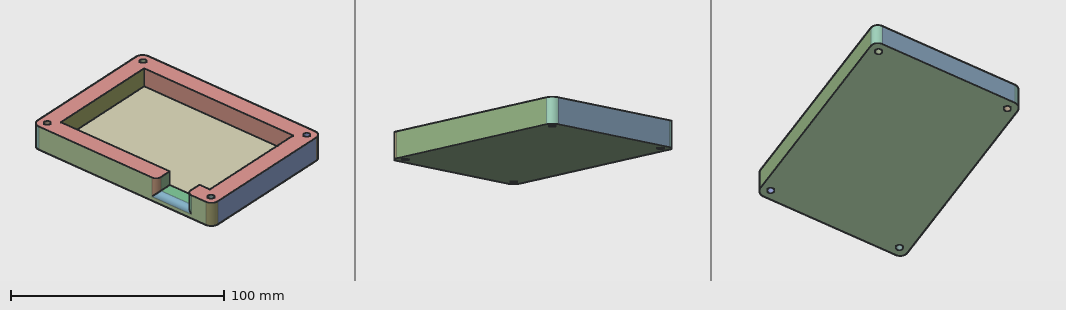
import cadquery as cq

length = 110.0
width = 80.0
height = 13.0
corner_radius = 4.0

rim_width = 9.5
floor_thickness = 3.0

hole_diameter = 3.4
hole_inset = 5.0

notch_width = 18.2
notch_center_x = 30.1
notch_floor = 5.4
mouth_diameter = 6.0
mouth_radius = mouth_diameter / 2

pocket_length = length - 2 * rim_width
pocket_width = width - 2 * rim_width
front_y = -width / 2


def tray_body():
    """Rectangular block with rounded vertical corners and a rectangular pocket."""
    body = cq.Workplane("XY").rect(length, width).extrude(height).edges("|Z").fillet(corner_radius)
    pocket = cq.Workplane("XY").workplane(offset=floor_thickness).rect(pocket_length, pocket_width)
    return body.cut(pocket.extrude(height - floor_thickness))


def screw_holes():
    """Four through holes, one in each corner."""
    spacing_x = length - 2 * hole_inset
    spacing_y = width - 2 * hole_inset
    centers = cq.Workplane("XY").rect(spacing_x, spacing_y, forConstruction=True).vertices()
    return centers.circle(hole_diameter / 2).extrude(height)


def notch():
    """Slot through the front rim, open to the top."""
    return cq.Workplane("XY").box(
        notch_width, rim_width, height - notch_floor, centered=(True, False, False)
    ).translate((notch_center_x, front_y, notch_floor))


def round_notch_mouth(body):
    """Round the two sides and the sill where the notch meets the front face."""
    side_height = (notch_floor + height) / 2
    half_width = notch_width / 2
    edge_middles = [
        (notch_center_x - half_width, front_y, side_height),
        (notch_center_x + half_width, front_y, side_height),
        (notch_center_x, front_y, notch_floor),
    ]
    mouth_edges = cq.Workplane("XY")
    for middle in edge_middles:
        mouth_edges = mouth_edges.add(body.edges(cq.NearestToPointSelector(middle)))
    return cq.Workplane("XY").add(body.val().fillet(mouth_radius, mouth_edges.vals()))


result = round_notch_mouth(tray_body().cut(notch())).cut(screw_holes())